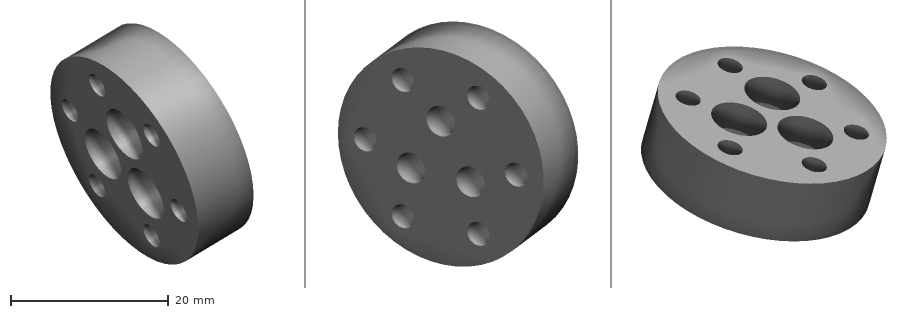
import cadquery as cq

disc_diameter = 29.95
disc_thickness = 9.0

bolt_hole_count = 6
bolt_hole_diameter = 3.3
bolt_circle_radius = 11.0

port_count = 3
port_circle_radius = 5.0
port_bore_diameter = 4.2
counterbore_diameter = 7.3
counterbore_depth = 3.98
first_port_angle = 90.0

disc = cq.Workplane("XZ").circle(disc_diameter / 2).extrude(-disc_thickness)


def ring_of_cuts(ring_radius, start_angle, count, diameter, depth):
    """Cylinders on a ring, running from the front face into the disc."""
    return (
        cq.Workplane("XZ")
        .polarArray(ring_radius, start_angle, 360, count)
        .circle(diameter / 2)
        .extrude(-depth)
    )


bolt_holes = ring_of_cuts(bolt_circle_radius, 0, bolt_hole_count, bolt_hole_diameter, disc_thickness)
port_bores = ring_of_cuts(port_circle_radius, first_port_angle, port_count, port_bore_diameter, disc_thickness)
counterbores = ring_of_cuts(
    port_circle_radius, first_port_angle, port_count, counterbore_diameter, counterbore_depth
)

result = disc.cut(bolt_holes).cut(port_bores).cut(counterbores)